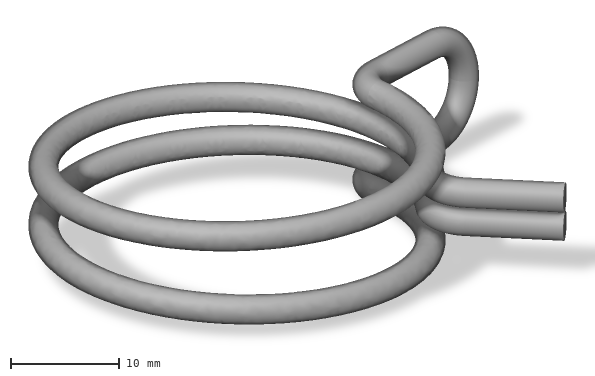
import cadquery as cq
import math


wire_diameter = 2.8
coil_outer_diameter = 38.5
coil_radius = (coil_outer_diameter - wire_diameter) / 2
total_height = 12.4
total_length = 50.8

tail_gap = 0.05
tang_height = (total_height - wire_diameter) / 2
tail_height = (wire_diameter + tail_gap) / 2

tang_angle = 120
tail_angle = 180 - tang_angle
apex_y = total_length - coil_outer_diameter / 2 - wire_diameter / 2
tang_reach = apex_y / math.sin(math.radians(tang_angle)) - tang_height
tail_reach = 30.45

bend_radius = 3.75
bend_offset = math.degrees(math.asin(bend_radius / (coil_radius + bend_radius)))
bend_reach = math.sqrt((coil_radius + bend_radius) ** 2 - bend_radius**2)

coil_start_angle = tail_angle + bend_offset
coil_end_angle = 360 + tang_angle - bend_offset
coil_sweep = coil_end_angle - coil_start_angle
coil_rise = tang_height - tail_height
coil_pitch = coil_rise * 360 / coil_sweep


def polar(radius, angle, height):
    """Point at a distance and angle (degrees) around the coil axis."""
    turn = math.radians(angle)
    return cq.Vector(radius * math.cos(turn), radius * math.sin(turn), height)


def bend_edge(coil_angle, leg_angle, height):
    """Level arc from the coil out to a radial leg."""
    start = polar(coil_radius, coil_angle, height)
    end = polar(bend_reach, leg_angle, height)
    centre = polar(coil_radius + bend_radius, coil_angle, height)
    to_middle = ((start + end) / 2 - centre).normalized()
    return cq.Edge.makeThreePointArc(start, centre + to_middle * bend_radius, end)


def leg_edge(leg_angle, reach, height):
    """Straight radial leg beyond the bend."""
    return cq.Edge.makeLine(polar(bend_reach, leg_angle, height), polar(reach, leg_angle, height))


def coil_edge():
    """Helix from the tail bend up to the tang bend."""
    helix = cq.Wire.makeHelix(coil_pitch, coil_rise, coil_radius)
    helix = helix.rotate(cq.Vector(0, 0, 0), cq.Vector(0, 0, 1), coil_start_angle)
    return helix.translate(cq.Vector(0, 0, tail_height)).Edges()[0]


def half_u_edge():
    """Upright quarter arc from the tang leg down to the mid-plane."""
    diagonal = tang_height * math.sqrt(0.5)
    return cq.Edge.makeThreePointArc(
        polar(tang_reach, tang_angle, tang_height),
        polar(tang_reach + diagonal, tang_angle, diagonal),
        polar(tang_reach + tang_height, tang_angle, 0),
    )


def wire_along(path, facing_angle):
    """Round wire swept along one edge, starting from an upright section facing an angle."""
    section = cq.Plane(origin=path.startPoint(), xDir=(0, 0, 1), normal=polar(1, facing_angle, 0))
    spine = cq.Workplane(cq.Wire.assembleEdges([path]))
    return cq.Workplane(section).circle(wire_diameter / 2).sweep(spine, isFrenet=True)


tail_bend = bend_edge(coil_start_angle, tail_angle, tail_height)
tang_bend = bend_edge(coil_end_angle, tang_angle, tang_height)
upper_half = (
    wire_along(coil_edge(), coil_start_angle + 90)
    .union(wire_along(tail_bend, coil_start_angle + 90))
    .union(wire_along(leg_edge(tail_angle, tail_reach, tail_height), tail_angle))
    .union(wire_along(tang_bend, coil_end_angle - 90))
    .union(wire_along(leg_edge(tang_angle, tang_reach, tang_height), tang_angle))
    .union(wire_along(half_u_edge(), tang_angle))
)

result = upper_half.union(upper_half.mirror("XY"))